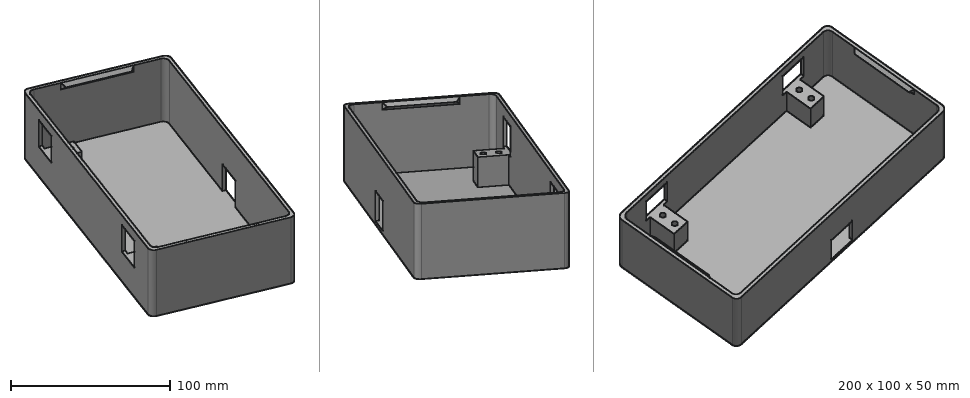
import cadquery as cq

length = 200
width = 100
height = 50
wall = height / 20
corner_radius = 4

window_size = 20
support_spacing = 130
support_width = 12.8
support_depth = 20
support_height = 20
support_top = wall + support_height
pilot_diameter = 3.8
pilot_spacing = 10
pilot_depth = 10

catch_length = 50
catch_reach = wall
catch_drop = catch_reach

inner_length = length - 2 * wall
inner_width = width - 2 * wall
inner_front = -inner_width / 2
support_middle = inner_front + support_depth / 2
support_places = (-support_spacing / 2, support_spacing / 2)


def rounded_block(x_size, y_size, z_size):
    """Upright block with rounded corners, standing on Z = 0."""
    block = cq.Workplane("XY").box(x_size, y_size, z_size, centered=(True, True, False))
    return block.edges("|Z").fillet(corner_radius)


def make_tray():
    cavity = rounded_block(inner_length, inner_width, height).translate((0, 0, wall))
    return rounded_block(length, width, height).cut(cavity)


def make_window(x, wall_side, sill):
    """Cutter through the front (-1) or back (+1) wall, centred on the wall thickness."""
    cutter = cq.Workplane("XY").box(window_size, 2 * wall, window_size, centered=(True, True, False))
    return cutter.translate((x, wall_side * (width - wall) / 2, sill))


def make_support(x):
    """Block against the front wall with two blind pilot holes in its top."""
    block = cq.Workplane("XY").box(support_width, support_depth, support_height, centered=(True, True, False))
    block = block.translate((x, support_middle, wall))
    pilots = (
        cq.Workplane("XY", origin=(x, support_middle, support_top))
        .rarray(2, pilot_spacing, 1, 2)
        .circle(pilot_diameter / 2)
        .extrude(-pilot_depth)
    )
    return block.cut(pilots)


def make_catch():
    """Ridge on the +X wall, tapering on all four sides to a line along Y."""
    profile = [(0, 0), (-catch_reach, -catch_drop), (0, -2 * catch_drop)]
    ridge = (
        cq.Workplane("XZ", origin=(inner_length / 2, catch_length / 2, height))
        .polyline(profile)
        .close()
        .extrude(catch_length)
    )
    plan = [
        (0, -catch_length / 2),
        (-catch_reach, -catch_length / 2 + catch_reach),
        (-catch_reach, catch_length / 2 - catch_reach),
        (0, catch_length / 2),
    ]
    bevelled_ends = (
        cq.Workplane("XY", origin=(inner_length / 2, 0, 0)).polyline(plan).close().extrude(height)
    )
    return ridge.intersect(bevelled_ends)


result = make_tray()

for place in support_places:
    result = result.union(make_support(place))
    result = result.cut(make_window(place, -1, support_top))

result = result.cut(make_window(0, 1, wall))

catch = make_catch()
result = result.union(catch).union(catch.mirror("YZ"))